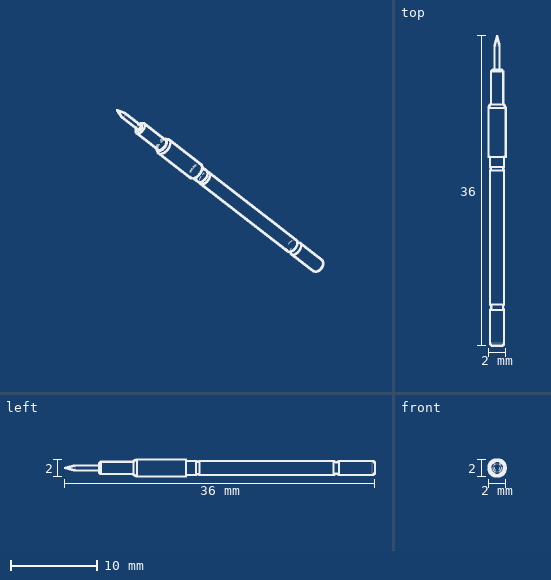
import cadquery as cq
import math

LENGTH = 36.0

NEEDLE_RADIUS = 0.305
BARREL_RADIUS = 0.72
TUBE_RADIUS = 0.83
COLLAR_RADIUS = 1.0

COLLAR_REAR = 21.95
COLLAR_FRONT = 27.65
BARREL_REAR = 28.05
BARREL_FRONT = 32.08
POINT_LENGTH = 1.15

TAIL_ROUND = 0.35
BARREL_CHAMFER = 0.2

CRIMPS = [(4.5, 0.32, 0.15), (20.6, 0.2, 0.1)]

DIAGONAL = math.sin(math.radians(45))


def add_crimp(profile, centre, half_width, depth):
    """Shallow crimp with a rounded bottom."""
    return profile.lineTo(TUBE_RADIUS, centre - half_width).threePointArc(
        (TUBE_RADIUS - depth, centre), (TUBE_RADIUS, centre + half_width)
    )


def add_tube(profile):
    """Tail end with a rounded rim, then the crimped tube up to the collar."""
    round_mid = TAIL_ROUND * (1 - DIAGONAL)
    profile = profile.lineTo(TUBE_RADIUS - TAIL_ROUND, 0).threePointArc(
        (TUBE_RADIUS - round_mid, round_mid), (TUBE_RADIUS, TAIL_ROUND)
    )
    for centre, half_width, depth in CRIMPS:
        profile = add_crimp(profile, centre, half_width, depth)
    return profile.lineTo(TUBE_RADIUS, COLLAR_REAR)


def add_collar(profile):
    """Press-fit collar, tapering at the front to a small step above the barrel."""
    return (
        profile.lineTo(COLLAR_RADIUS, COLLAR_REAR)
        .lineTo(COLLAR_RADIUS, COLLAR_FRONT)
        .lineTo(TUBE_RADIUS, BARREL_REAR)
        .lineTo(BARREL_RADIUS, BARREL_REAR)
    )


def add_barrel(profile):
    """Barrel with a chamfered front rim."""
    return profile.lineTo(BARREL_RADIUS, BARREL_FRONT - BARREL_CHAMFER).lineTo(
        BARREL_RADIUS - BARREL_CHAMFER, BARREL_FRONT
    )


def add_needle(profile):
    """Slender needle with a conical point."""
    return (
        profile.lineTo(NEEDLE_RADIUS, BARREL_FRONT)
        .lineTo(NEEDLE_RADIUS, LENGTH - POINT_LENGTH)
        .lineTo(0, LENGTH)
    )


half_profile = cq.Workplane("XY").moveTo(0, 0)
for add_section in (add_tube, add_collar, add_barrel, add_needle):
    half_profile = add_section(half_profile)

result = half_profile.close().revolve(360, (0, 0, 0), (0, 1, 0))